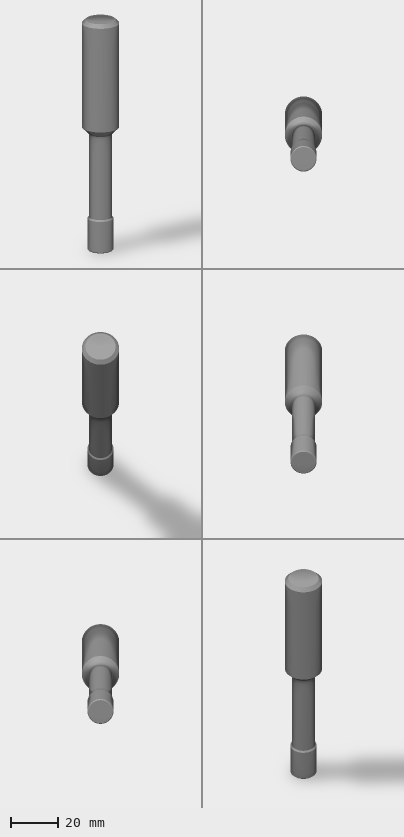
import cadquery as cq

overall_length = 103.2
shank_diameter = 15.9
neck_diameter = 9.8
head_diameter = 11.0
shank_chamfer = 1.5
tip_chamfer = 0.4
head_length = 14.9
neck_length = 37.3

shank_radius = shank_diameter / 2
neck_radius = neck_diameter / 2
head_radius = head_diameter / 2
shank_cone_start = head_length + neck_length
shank_length = overall_length - shank_cone_start


def make_head():
    """Cutting head: chamfered at the tip and tapered up to the neck diameter."""
    body = cq.Workplane("XY").circle(head_radius).extrude(head_length)
    shoulder_height = head_radius - neck_radius
    return body.faces(">Z").chamfer(shoulder_height).faces("<Z").chamfer(tip_chamfer)


def make_holder():
    """Shank and neck: a slim neck, a cone and a chamfered shank."""
    cone_height = shank_radius - neck_radius
    neck = cq.Workplane("XY").workplane(offset=head_length).circle(neck_radius).extrude(neck_length)
    shank = (
        cq.Workplane("XY")
        .workplane(offset=shank_cone_start)
        .circle(shank_radius)
        .extrude(shank_length)
        .faces("<Z").chamfer(cone_height)
        .faces(">Z").chamfer(shank_chamfer)
    )
    return neck.union(shank).solids()


head = make_head()
holder = make_holder()

result = cq.Compound.makeCompound([head.val(), holder.val()])